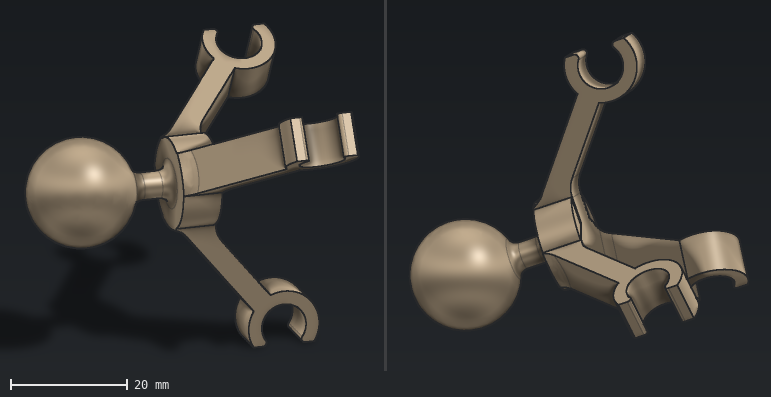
import cadquery as cq
import math

ball_radius = 9.7
neck_radius = 2.4
neck_fillet = 1.95

hub_radius = 8.05
hub_front = 16.0
hub_back = 23.0

arm_count = 3
arm_width = 7.65
arm_thickness = 4.05
arm_angle = 50.8
arm_back = 23.2
arm_bend_radius = 5.0
arm_root_fillet = 3.95
blend_stock_width = 11.25

clip_y = 35.55
clip_distance = 26.95
clip_outer_radius = 6.4
clip_inner_radius = 4.0
clip_end_distance = 30.25
lip_radius = 0.7

arm_front_y = 17.65
arm_front_distance = 8.45


def arm_plane():
    """Plane with local x along +Y and local y pointing down, away from the stud axis."""
    return cq.Workplane(cq.Plane(origin=(0, 0, 0), xDir=(0, 1, 0), normal=(-1, 0, 0)))


def y_cylinder(radius, start, end):
    return cq.Workplane("XZ", origin=(0, start, 0)).circle(radius).extrude(start - end)


def make_bar(width):
    """Straight inclined bar that bends to lie flush across the back of the hub."""
    angle = math.radians(arm_angle)
    slope = math.tan(angle)
    thickness_along_radius = arm_thickness / math.cos(angle)
    axis_y = arm_front_y - arm_front_distance / slope
    front_at_clip = arm_front_distance + slope * (clip_y - arm_front_y)
    front_end_y = clip_y - clip_inner_radius
    front_end = front_at_clip - slope * clip_inner_radius
    bend = slope * (arm_back - axis_y) - thickness_along_radius
    outline = [
        (axis_y, 0),
        (front_end_y, front_end),
        (clip_y, clip_distance),
        (clip_y, front_at_clip - thickness_along_radius),
        (arm_back, bend),
        (arm_back, 0),
    ]
    bar = arm_plane().polyline(outline).close().extrude(width / 2, both=True)
    bend_edge = cq.selectors.NearestToPointSelector((0, arm_back, -bend))
    return bar.edges(bend_edge).fillet(arm_bend_radius)


def clip_cylinder(radius):
    return arm_plane().center(clip_y, clip_distance).circle(radius).extrude(arm_width / 2, both=True)


def make_clip_arm():
    """Arm pointing down with an open snap clip at its end."""
    behind_hub_front = y_cylinder(clip_distance + clip_outer_radius, hub_front, clip_y + clip_outer_radius)
    arm = make_bar(arm_width).intersect(behind_hub_front)
    arm = arm.union(clip_cylinder(clip_outer_radius)).cut(clip_cylinder(clip_inner_radius))
    opening = (
        cq.Workplane("XY", origin=(0, clip_y, -clip_end_distance))
        .rect(arm_width * 2, clip_outer_radius * 4)
        .extrude(-clip_outer_radius)
    )
    arm = arm.cut(opening)
    lip_offset = math.sqrt(clip_inner_radius**2 - (clip_end_distance - clip_distance) ** 2)
    for side in (-1, 1):
        lip = (0, clip_y + side * lip_offset, -clip_end_distance)
        arm = arm.edges(cq.selectors.NearestToPointSelector(lip)).fillet(lip_radius)
    return arm


def make_root_blend():
    """Concave blend between the front face of an arm and the side of the hub.

    The hub is lengthened forward and the arm widened so that the fillet runs its full course.
    The result is then trimmed to the arm width and to the front of the hub.
    """
    long_hub = y_cylinder(hub_radius, 0, hub_back)
    wide_arm = make_bar(blend_stock_width)
    edge_y = arm_front_y + (hub_radius - arm_front_distance) / math.tan(math.radians(arm_angle))
    root_edge = cq.selectors.NearestToPointSelector((0, edge_y, -hub_radius))
    blend = long_hub.union(wide_arm).edges(root_edge).fillet(arm_root_fillet)
    trim = (
        arm_plane()
        .moveTo(hub_front, 0)
        .lineTo(hub_front, clip_distance - clip_outer_radius)
        .lineTo(hub_back, clip_distance - clip_outer_radius)
        .lineTo(hub_back, 0)
        .close()
        .extrude(arm_width / 2, both=True)
    )
    return blend.intersect(trim)


def make_ball_stud():
    """Ball and neck as one revolved profile, with a fillet at each end of the neck."""
    fillet_x = neck_radius + neck_fillet
    center_distance = ball_radius + neck_fillet
    ball_fillet_y = math.sqrt(center_distance**2 - fillet_x**2)
    ball_tangent = (
        fillet_x * ball_radius / center_distance,
        ball_fillet_y * ball_radius / center_distance,
    )
    hub_fillet_y = hub_front - neck_fillet
    neck_end = (hub_front + hub_back) / 2
    profile = (
        cq.Workplane("XY")
        .moveTo(0, -ball_radius)
        .threePointArc((ball_radius, 0), ball_tangent)
        .radiusArc((neck_radius, ball_fillet_y), neck_fillet)
        .lineTo(neck_radius, hub_fillet_y)
        .radiusArc((fillet_x, hub_front), neck_fillet)
        .lineTo(fillet_x, neck_end)
        .lineTo(0, neck_end)
        .close()
    )
    return profile.revolve(360, (0, 0, 0), (0, 1, 0))


arm = make_clip_arm().union(make_root_blend())
result = make_ball_stud().union(y_cylinder(hub_radius, hub_front, hub_back))
for index in range(arm_count):
    result = result.union(arm.rotate((0, 0, 0), (0, 1, 0), index * 360 / arm_count))